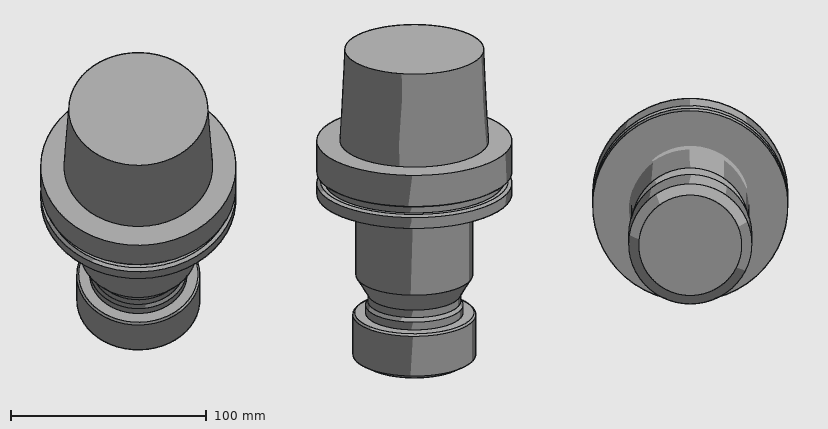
import cadquery as cq

taper_top_diameter = 71.2
taper_base_diameter = 76.1
flange_diameter = 99.9
groove_diameter = 91.9
body_diameter = 60.0
neck_diameter = 47.5
collar_diameter = 50.0
nut_diameter = 63.0
nut_face_diameter = 52.7

total_height = 169.8
taper_length = 50.0
flange_top = total_height - taper_length
flange_bottom = 90.9
groove_top = 101.9
groove_bottom = 97.8
cone_top = 46.7
cone_bottom = 36.2
neck_bottom = 32.1
collar_top = 30.0
nut_top = 25.8

groove_chamfer_height = 1.0
groove_chamfer_width = 1.9
body_fillet = 2.0
nut_top_chamfer = 1.0
nut_face_chamfer_height = 3.0


def disc(diameter, bottom, top):
    """Cylinder on the Z axis between two heights."""
    return cq.Workplane("XY").workplane(offset=bottom).circle(diameter / 2).extrude(top - bottom)


def cone(bottom_diameter, top_diameter, bottom, top):
    """Truncated cone on the Z axis between two heights."""
    return (
        cq.Workplane("XZ")
        .moveTo(0, bottom)
        .lineTo(bottom_diameter / 2, bottom)
        .lineTo(top_diameter / 2, top)
        .lineTo(0, top)
        .close()
        .revolve(360, (0, 0), (0, 1))
    )


shank = cone(taper_base_diameter, taper_top_diameter, flange_top, total_height)

rim_edge_diameter = flange_diameter - 2 * groove_chamfer_width
upper_chamfer_top = groove_top + groove_chamfer_height
lower_chamfer_bottom = groove_bottom - groove_chamfer_height
upper_rim = disc(flange_diameter, upper_chamfer_top, flange_top)
upper_chamfer = cone(rim_edge_diameter, flange_diameter, groove_top, upper_chamfer_top)
lower_rim = disc(flange_diameter, flange_bottom, lower_chamfer_bottom)
lower_chamfer = cone(flange_diameter, rim_edge_diameter, lower_chamfer_bottom, groove_bottom)
groove_floor = disc(groove_diameter, groove_bottom, groove_top)

body = disc(body_diameter, cone_top, flange_bottom)
body_cone = cone(neck_diameter, body_diameter, cone_bottom, cone_top)
neck = disc(neck_diameter, neck_bottom, cone_bottom)
collar_cone = cone(collar_diameter, neck_diameter, collar_top, neck_bottom)
collar = disc(collar_diameter, nut_top, collar_top)

body_radius = body_diameter / 2
fillet_ring = (
    cq.Workplane("XZ")
    .moveTo(0, flange_bottom - body_fillet)
    .lineTo(body_radius, flange_bottom - body_fillet)
    .radiusArc((body_radius + body_fillet, flange_bottom), body_fillet)
    .lineTo(0, flange_bottom)
    .close()
    .revolve(360, (0, 0), (0, 1))
)

nut = disc(nut_diameter, nut_face_chamfer_height, nut_top).faces(">Z").edges().chamfer(nut_top_chamfer)
nut_face = cone(nut_face_diameter, nut_diameter, 0, nut_face_chamfer_height)

result = nut_face
for section in (
    nut,
    collar,
    collar_cone,
    neck,
    body_cone,
    body,
    fillet_ring,
    lower_rim,
    lower_chamfer,
    groove_floor,
    upper_chamfer,
    upper_rim,
    shank,
):
    result = result.union(section)